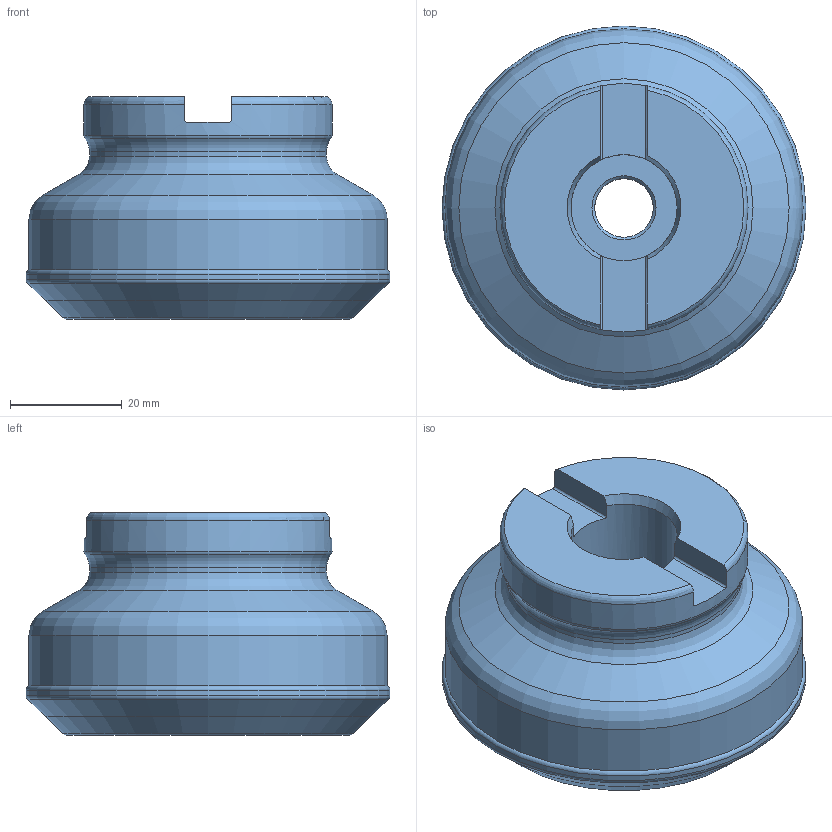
import cadquery as cq
import math

HEIGHT = 39.8

RIM_RADIUS = 65.23 / 2
RIM_UPPER_ROUND = 0.8
RIM_LOWER_ROUND = 1.0
RIM_BAND_BOTTOM = 7.05
RIM_BAND_TOP = 8.05

UPPER_CONE_ANGLE = math.radians(47)
LOWER_CONE_ANGLE = math.radians(45)
CONE_KNEE_HEIGHT = 3.35
BASE_ROUND = 1.0

BODY_RADIUS = 64.2 / 2
SHOULDER_ROUND = 5.0
SHOULDER_SLOPE = math.radians(30)
NECK_RADIUS = 42.45 / 2
NECK_ROUND = 3.8
NECK_BOTTOM = 29.2
NECK_TOP = 30.0

COLLAR_RADIUS = 44.45 / 2
COLLAR_LOWER_ROUND = 1.0
COLLAR_TOP_ROUND = 1.63
COLLAR_TOP_ROUND_HEIGHT = 1.37

BORE_RADIUS = 19.05 / 2
BORE_MOUTH_RADIUS = 20.4 / 2
BORE_LEAD_IN_DEPTH = 1.8
BORE_DEPTH = 20.0
HOLE_RADIUS = 10.5 / 2
HOLE_CHAMFER = 0.5

SLOT_WIDTH = 8.4
SLOT_DEPTH = 4.5
SLOT_CORNER_ROUND = 0.4


def on_circle(center, radius, angle):
    """Point (r, z) on a circle; the angle is measured from the outward radial direction."""
    return (center[0] + radius * math.cos(angle), center[1] + radius * math.sin(angle))


def arc(profile, center, radius, start, end):
    """Continue the profile along a circle from the start angle to the end angle."""
    middle = on_circle(center, radius, (start + end) / 2)
    return profile.threePointArc(middle, on_circle(center, radius, end))


def make_body():
    """Revolve the outer profile, drawn from the base upwards."""
    rim_low = (RIM_RADIUS - RIM_LOWER_ROUND, RIM_BAND_BOTTOM)
    rim_high = (RIM_RADIUS - RIM_UPPER_ROUND, RIM_BAND_TOP)
    rim_end = math.acos((BODY_RADIUS - rim_high[0]) / RIM_UPPER_ROUND)

    cone_top = on_circle(rim_low, RIM_LOWER_ROUND, -UPPER_CONE_ANGLE)
    knee_radius = cone_top[0] - (cone_top[1] - CONE_KNEE_HEIGHT) * math.tan(UPPER_CONE_ANGLE)
    base_edge_radius = knee_radius - CONE_KNEE_HEIGHT * math.tan(LOWER_CONE_ANGLE)
    base_setback = BASE_ROUND * math.tan((math.pi / 2 - LOWER_CONE_ANGLE) / 2)
    base = (base_edge_radius - base_setback, BASE_ROUND)

    slope_normal = math.pi / 2 - SHOULDER_SLOPE
    neck_low = (NECK_RADIUS + NECK_ROUND, NECK_BOTTOM)
    slope_top = on_circle(neck_low, NECK_ROUND, slope_normal + math.pi)
    shoulder_r = BODY_RADIUS - SHOULDER_ROUND
    slope_bottom_r = shoulder_r + SHOULDER_ROUND * math.cos(slope_normal)
    slope_bottom_z = slope_top[1] - (slope_bottom_r - slope_top[0]) * math.tan(SHOULDER_SLOPE)
    shoulder = (shoulder_r, slope_bottom_z - SHOULDER_ROUND * math.sin(slope_normal))

    neck_high = (NECK_RADIUS + NECK_ROUND, NECK_TOP)
    lower_round_r = COLLAR_RADIUS - COLLAR_LOWER_ROUND
    blend_angle = math.acos((neck_high[0] - lower_round_r) / (NECK_ROUND + COLLAR_LOWER_ROUND))
    lower_round_z = NECK_TOP + (NECK_ROUND + COLLAR_LOWER_ROUND) * math.sin(blend_angle)
    collar_low = (lower_round_r, lower_round_z)

    collar_high = (COLLAR_RADIUS - COLLAR_TOP_ROUND, HEIGHT - COLLAR_TOP_ROUND_HEIGHT)
    top_end = math.asin(COLLAR_TOP_ROUND_HEIGHT / COLLAR_TOP_ROUND)

    profile = cq.Workplane("XZ").lineTo(base[0], 0)
    profile = arc(profile, base, BASE_ROUND, -math.pi / 2, -LOWER_CONE_ANGLE)
    profile = profile.lineTo(knee_radius, CONE_KNEE_HEIGHT).lineTo(*cone_top)
    profile = arc(profile, rim_low, RIM_LOWER_ROUND, -UPPER_CONE_ANGLE, 0)
    profile = profile.lineTo(RIM_RADIUS, RIM_BAND_TOP)
    profile = arc(profile, rim_high, RIM_UPPER_ROUND, 0, rim_end)
    profile = profile.lineTo(BODY_RADIUS, shoulder[1])
    profile = arc(profile, shoulder, SHOULDER_ROUND, 0, slope_normal)
    profile = profile.lineTo(*slope_top)
    profile = arc(profile, neck_low, NECK_ROUND, slope_normal + math.pi, math.pi)
    profile = profile.lineTo(NECK_RADIUS, NECK_TOP)
    profile = arc(profile, neck_high, NECK_ROUND, math.pi, math.pi - blend_angle)
    profile = arc(profile, collar_low, COLLAR_LOWER_ROUND, -blend_angle, 0)
    profile = profile.lineTo(COLLAR_RADIUS, collar_high[1])
    profile = arc(profile, collar_high, COLLAR_TOP_ROUND, 0, top_end)
    return profile.lineTo(0, HEIGHT).close().revolve(360, (0, 0, 0), (0, 1, 0))


def make_bore():
    """Stepped bore: conical lead-in, arbor bore, then a chamfered through hole."""
    floor = HEIGHT - BORE_DEPTH
    profile = (
        cq.Workplane("XZ")
        .lineTo(HOLE_RADIUS, 0)
        .lineTo(HOLE_RADIUS, floor - HOLE_CHAMFER)
        .lineTo(HOLE_RADIUS + HOLE_CHAMFER, floor)
        .lineTo(BORE_RADIUS, floor)
        .lineTo(BORE_RADIUS, HEIGHT - BORE_LEAD_IN_DEPTH)
        .lineTo(BORE_MOUTH_RADIUS, HEIGHT)
        .lineTo(0, HEIGHT)
        .close()
    )
    return profile.revolve(360, (0, 0, 0), (0, 1, 0))


def make_slot():
    """Drive slot through the whole collar, with rounded floor corners."""
    slot = cq.Workplane("XY").box(SLOT_WIDTH, 2 * RIM_RADIUS, 2 * SLOT_DEPTH)
    slot = slot.edges("|Y and <Z").fillet(SLOT_CORNER_ROUND)
    return slot.translate((0, 0, HEIGHT))


result = make_body().cut(make_bore()).cut(make_slot())